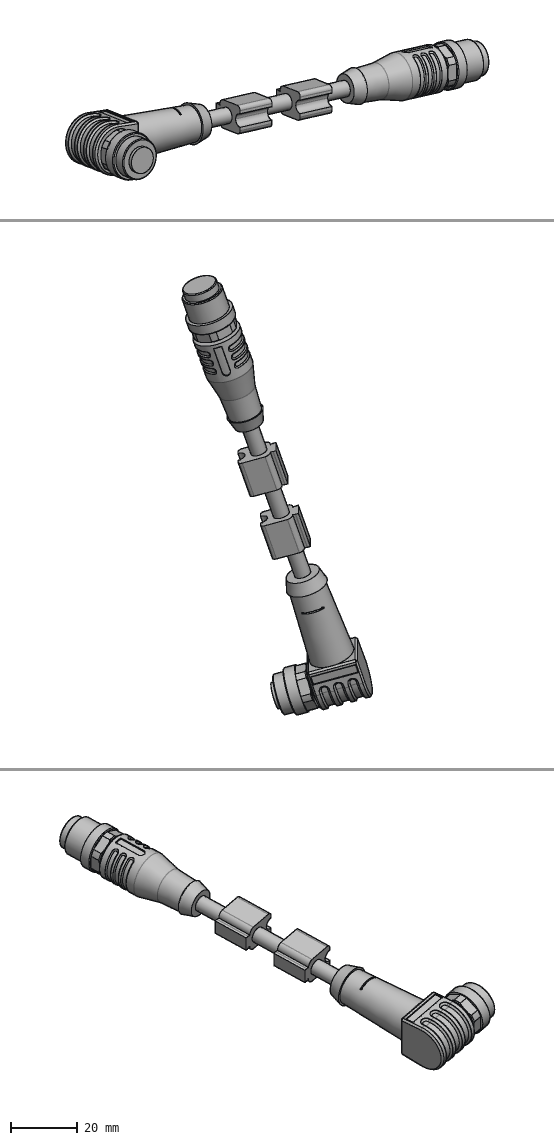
import cadquery as cq
import math


TOTAL_LENGTH = 151.0

TIP_THREAD_DIAMETER = 12.8
COLLAR_DIAMETER = 15.0
EDGE_CHAMFER = 0.3
NECK_DIAMETER = 9.4
HEX_ACROSS_FLATS = 13.3
HEX_ROUND_DIAMETER = 14.2
CABLE_DIAMETER = 5.1

BODY_RADIUS = 8.0
BODY_WIDTH = 2 * BODY_RADIUS
BODY_TOP_Y = 16.5
BODY_DRAFT = math.radians(3.5)
BODY_EDGE = 0.6
SOCKET_Y = BODY_RADIUS
BODY_GROOVE_PITCH = 4.5
BODY_GROOVE_WIDTH = 3.2
BODY_GROOVE_FLOOR_WIDTH = 2.0
BODY_GROOVE_DEPTH = 0.8
BODY_GROOVE_END_Y = 10.9
WINDOW_LENGTH = 14.2
WINDOW_Y = (12.2, 15.0)
WINDOW_FLOOR_Z = 7.2

SOCKET_HEX_X = (8.8, 12.1)
SOCKET_COLLAR_END_X = 15.9
SOCKET_THREAD_END_X = 19.5
SOCKET_TIP_END_X = 20.7
SOCKET_TIP_DIAMETER = 8.3

SLEEVE_RIM_Y = 41.7
SLEEVE_END_Y = 45.9
SLEEVE_BASE_DIAMETER = 14.0
SLEEVE_NECK_DIAMETER = 11.6
SLEEVE_RIM_DIAMETER = 13.0
SLEEVE_END_DIAMETER = 10.5
NOTCH_Y = 35.5
NOTCH_WIDTH = 0.5
NOTCH_FLOOR_Z = 5.0

BOOT_START_Y = 100.4
BOOT_RIM_Y = 104.5
BOOT_WAIST_Y = 112.6
GRIP_START_Y = 120.3
GRIP_END_Y = 133.6
PLUG_HEX_Y = (134.4, 137.5)
PLUG_COLLAR_END_Y = 141.0
PLUG_THREAD_END_Y = 148.3
BOOT_START_DIAMETER = 9.0
BOOT_RIM_DIAMETER = 11.5
BOOT_NECK_DIAMETER = 10.5
BOOT_WAIST_DIAMETER = 11.5
PLUG_TIP_DIAMETER = 10.9

GRIP_RECESS_DEPTH = 0.5
KEY_SLOT_WIDTH = 2.5
KEY_SLOT_Y = (122.3, 132.4)
GRIP_GROOVE_Y = (124.4, 127.4, 130.5)
GRIP_GROOVE_WIDTH = 2.1
GRIP_GROOVE_WALL_RUN = 0.38
GRIP_GROOVE_TIP_X = 2.9

CLIP_LENGTH = 12.1
CLIP_START_Y = (55.5, 78.4)
CLIP_HALF_HEIGHT = 4.5
CLIP_BACK_X = -5.5
CLIP_BACK_HALF_HEIGHT = 2.5
CLIP_LEDGE_X = -4.5
CLIP_GROOVE = (-3.6, 2.4)
CLIP_SHOULDER_RADIUS = 2.0
CLIP_TOP_X = (-2.0, 5.3)
CLIP_LIP_RADIUS = 1.4
CLIP_MOUTH_HALF_HEIGHT = 2.1
CLIP_MOUTH_RADIUS = 2.3
CLIP_MOUTH_X = 4.4

CONTACT_TOLERANCE = 0.002


def lies_on(solid, edge):
    """True when the middle of the edge touches the solid."""
    middle = cq.Vertex.makeVertex(*edge.positionAt(0.5).toTuple())
    return solid.val().distance(middle) < CONTACT_TOLERANCE


def turned(profile):
    """Solid of revolution about Y from (diameter, y) pairs listed along the axis."""
    points = [(diameter / 2, y) for diameter, y in profile]
    outline = [(0, points[0][1])] + points + [(0, points[-1][1])]
    return cq.Workplane("XY").polyline(outline).close().revolve(360, (0, 0, 0), (0, 1, 0))


def hex_nut(start, end):
    """Hexagon along Y with two flats facing X, rounded corners and a chamfered start."""
    corner_diameter = HEX_ACROSS_FLATS / math.cos(math.pi / 6)
    prism = (
        cq.Workplane("XZ", origin=(0, end, 0))
        .transformed(rotate=(0, 0, 30))
        .polygon(6, corner_diameter)
        .extrude(end - start)
    )
    rounding = turned([
        (HEX_ROUND_DIAMETER - 2 * EDGE_CHAMFER, start),
        (HEX_ROUND_DIAMETER, start + EDGE_CHAMFER),
        (HEX_ROUND_DIAMETER, end),
    ])
    return prism.intersect(rounding)


def collar(start, end):
    """Ring with a chamfer at its start edge."""
    chamfered = COLLAR_DIAMETER - 2 * EDGE_CHAMFER
    return turned([(chamfered, start), (COLLAR_DIAMETER, start + EDGE_CHAMFER), (COLLAR_DIAMETER, end)])


def plug():
    """Boot, recessed grip, nut, collar and threaded tip, all turned about Y."""
    boot = turned([
        (BOOT_START_DIAMETER, BOOT_START_Y),
        (BOOT_RIM_DIAMETER, BOOT_RIM_Y),
        (BOOT_NECK_DIAMETER, BOOT_RIM_Y),
        (BOOT_WAIST_DIAMETER, BOOT_WAIST_Y),
        (COLLAR_DIAMETER, GRIP_START_Y),
        (COLLAR_DIAMETER, GRIP_END_Y),
    ])
    front = turned([
        (NECK_DIAMETER, GRIP_END_Y),
        (NECK_DIAMETER, PLUG_COLLAR_END_Y),
        (TIP_THREAD_DIAMETER, PLUG_COLLAR_END_Y),
        (TIP_THREAD_DIAMETER, PLUG_THREAD_END_Y - EDGE_CHAMFER),
        (TIP_THREAD_DIAMETER - 2 * EDGE_CHAMFER, PLUG_THREAD_END_Y),
        (PLUG_TIP_DIAMETER, PLUG_THREAD_END_Y),
        (PLUG_TIP_DIAMETER, TOTAL_LENGTH - EDGE_CHAMFER),
        (PLUG_TIP_DIAMETER - 2 * EDGE_CHAMFER, TOTAL_LENGTH),
    ])
    nut = hex_nut(*PLUG_HEX_Y).union(collar(PLUG_HEX_Y[1], PLUG_COLLAR_END_Y))
    return boot.cut(grip_recesses()).union(front).union(nut)


def grip_recesses():
    """Shallow ring cut down to the key slots (top, bottom) and the grooves wrapping both sides."""
    radius = COLLAR_DIAMETER / 2
    ring = (
        cq.Workplane("XZ", origin=(0, GRIP_END_Y, 0))
        .circle(radius)
        .circle(radius - GRIP_RECESS_DEPTH)
        .extrude(GRIP_END_Y - GRIP_START_Y)
    )
    slot_start, slot_end = KEY_SLOT_Y
    half_width = KEY_SLOT_WIDTH / 2
    key_slots = (
        cq.Workplane("XY")
        .moveTo(-half_width, slot_end)
        .lineTo(-half_width, slot_start + half_width)
        .threePointArc((0, slot_start), (half_width, slot_start + half_width))
        .lineTo(half_width, slot_end)
        .close()
        .extrude(radius, both=True)
    )
    groove_length = 2 * radius
    groove_x = GRIP_GROOVE_TIP_X + groove_length / 2
    groove_centers = [(side * groove_x, y) for side in (-1, 1) for y in GRIP_GROOVE_Y]
    grooves = (
        cq.Workplane("XY")
        .pushPoints(groove_centers)
        .slot2D(groove_length, GRIP_GROOVE_WIDTH)
        .extrude(radius, both=True)
    )
    floor = turned([(COLLAR_DIAMETER - 2 * GRIP_RECESS_DEPTH, y) for y in (GRIP_START_Y, GRIP_END_Y)])
    straight_grooves = ring.intersect(grooves)
    floor_edges = straight_grooves.edges().filter(lambda edge: lies_on(floor, edge))
    return ring.intersect(key_slots).union(floor_edges.chamfer(GRIP_GROOVE_WALL_RUN))


def body_outline(radius):
    """D outline in the YZ plane: round at -Y, drafted sides, straight at +Y."""
    tangent_z = radius * math.cos(BODY_DRAFT)
    tangent_y = SOCKET_Y + radius * math.sin(BODY_DRAFT)
    top_z = tangent_z - (BODY_TOP_Y - tangent_y) * math.tan(BODY_DRAFT)
    return (
        cq.Workplane("YZ")
        .moveTo(BODY_TOP_Y, top_z)
        .lineTo(tangent_y, tangent_z)
        .threePointArc((SOCKET_Y - radius, 0), (tangent_y, -tangent_z))
        .lineTo(BODY_TOP_Y, -top_z)
        .close()
    )


def body_groove(center_x):
    """Groove around the round side, with sloping walls and round ends on top and bottom."""
    end_radius = BODY_GROOVE_WIDTH / 2
    floor_radius = BODY_RADIUS - BODY_GROOVE_DEPTH
    opening = (
        cq.Workplane("XY")
        .moveTo(center_x - end_radius, 0)
        .lineTo(center_x - end_radius, BODY_GROOVE_END_Y - end_radius)
        .threePointArc(
            (center_x, BODY_GROOVE_END_Y), (center_x + end_radius, BODY_GROOVE_END_Y - end_radius)
        )
        .lineTo(center_x + end_radius, 0)
        .close()
        .extrude(BODY_RADIUS, both=True)
    )
    floor = body_outline(floor_radius).extrude(BODY_WIDTH, both=True)
    surface = body_outline(BODY_RADIUS).extrude(BODY_WIDTH, both=True)
    straight_groove = opening.intersect(surface).cut(floor)
    floor_edges = straight_groove.edges().filter(lambda edge: lies_on(floor, edge))
    wall_run = (BODY_GROOVE_WIDTH - BODY_GROOVE_FLOOR_WIDTH) / 2
    return floor_edges.chamfer(wall_run)


def cut_top_and_bottom(solid, length, center_y, width, floor_z):
    """Cut flat-floored pockets, open to +Z and -Z, that leave material between z = -floor_z and floor_z."""
    for side in (-1, 1):
        cutter = cq.Workplane("XY").box(length, width, BODY_RADIUS)
        solid = solid.cut(cutter.translate((0, center_y, side * (floor_z + BODY_RADIUS / 2))))
    return solid


def angled_body():
    """D-shaped block with chamfered ends, three grooves and a shallow window on top and bottom."""
    body = body_outline(BODY_RADIUS).extrude(BODY_WIDTH / 2, both=True)
    body = body.faces("<X or >X or >Y").chamfer(BODY_EDGE)
    for step in (-1, 0, 1):
        body = body.cut(body_groove(step * BODY_GROOVE_PITCH))
    start, end = WINDOW_Y
    return cut_top_and_bottom(body, WINDOW_LENGTH, (start + end) / 2, end - start, WINDOW_FLOOR_Z)


def socket_front():
    """Socket nose turned along Y, then laid along +X through the body centre."""
    hex_start, hex_end = SOCKET_HEX_X
    nose = turned([
        (NECK_DIAMETER, 0),
        (NECK_DIAMETER, SOCKET_COLLAR_END_X),
        (TIP_THREAD_DIAMETER, SOCKET_COLLAR_END_X),
        (TIP_THREAD_DIAMETER, SOCKET_THREAD_END_X - EDGE_CHAMFER),
        (TIP_THREAD_DIAMETER - 2 * EDGE_CHAMFER, SOCKET_THREAD_END_X),
        (SOCKET_TIP_DIAMETER, SOCKET_THREAD_END_X),
        (SOCKET_TIP_DIAMETER, SOCKET_TIP_END_X),
    ])
    ring = turned([
        (COLLAR_DIAMETER, hex_end),
        (COLLAR_DIAMETER, SOCKET_COLLAR_END_X - EDGE_CHAMFER),
        (COLLAR_DIAMETER - 2 * EDGE_CHAMFER, SOCKET_COLLAR_END_X),
    ])
    nose = nose.union(ring).union(hex_nut(hex_start, hex_end))
    return nose.rotate((0, 0, 0), (0, 0, 1), -90).translate((0, SOCKET_Y, 0))


def sleeve():
    """Tapered cable sleeve with a rim and a narrow notch on top and bottom."""
    taper = turned([
        (SLEEVE_BASE_DIAMETER, BODY_TOP_Y),
        (SLEEVE_NECK_DIAMETER, SLEEVE_RIM_Y),
        (SLEEVE_RIM_DIAMETER, SLEEVE_RIM_Y),
        (SLEEVE_END_DIAMETER, SLEEVE_END_Y),
    ])
    return cut_top_and_bottom(taper, SLEEVE_BASE_DIAMETER, NOTCH_Y, NOTCH_WIDTH, NOTCH_FLOOR_Z)


def clip(start_y):
    """Snap-on clip: flat back at -X, round shoulders and lips, concave mouth at +X."""
    top, back = CLIP_HALF_HEIGHT, CLIP_BACK_HALF_HEIGHT
    groove_x, groove_z = CLIP_GROOVE
    top_start, top_end = CLIP_TOP_X
    lip_z = top - CLIP_LIP_RADIUS
    lip_x = top_end + CLIP_LIP_RADIUS
    upper_half = (
        cq.Workplane("XZ", origin=(0, start_y + CLIP_LENGTH, 0))
        .moveTo(CLIP_BACK_X, 0)
        .lineTo(CLIP_BACK_X, back)
        .lineTo(CLIP_LEDGE_X, back)
        .lineTo(groove_x, groove_z)
        .radiusArc((top_start, top), CLIP_SHOULDER_RADIUS)
        .lineTo(top_end, top)
        .radiusArc((lip_x, lip_z), CLIP_LIP_RADIUS)
        .lineTo(lip_x, CLIP_MOUTH_HALF_HEIGHT)
        .radiusArc((CLIP_MOUTH_X, 0), -CLIP_MOUTH_RADIUS)
        .close()
        .extrude(CLIP_LENGTH)
    )
    return upper_half.union(upper_half.mirror("XY"))


cable = turned([(CABLE_DIAMETER, BODY_TOP_Y), (CABLE_DIAMETER, GRIP_START_Y)])
result = angled_body().union(socket_front()).union(sleeve()).union(cable).union(plug())
for clip_start in CLIP_START_Y:
    result = result.union(clip(clip_start))